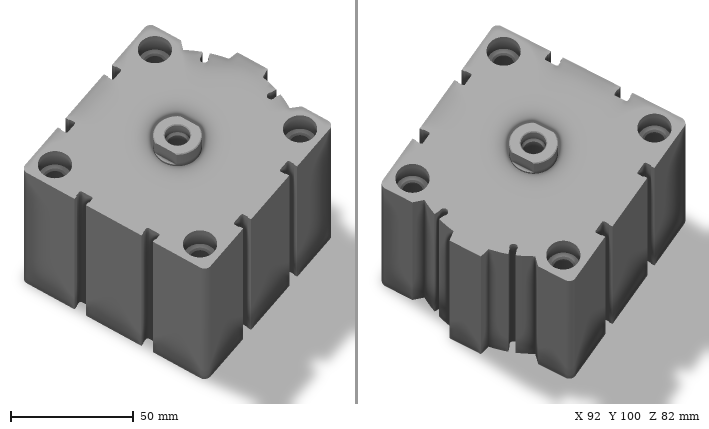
import cadquery as cq
import math

SIDE = 92.0
HOUSING_HEIGHT = 74.0
CORNER_RADIUS = 3.0
HALF = SIDE / 2

CROWN_RADIUS = 50.0
VALLEY_EDGE_X = 30.0
TAB_TOP_Y = 54.0
TAB_TOP_HALF_WIDTH = 7.5
TAB_ROOT_HALF_WIDTH = 8.4

SLOT_OFFSET = 16.6
SLOT_MOUTH_WIDTH = 5.7
SLOT_INNER_WIDTH = 6.4
SLOT_LIP = 1.7
SLOT_DEPTH = 4.8
SLOT_FLOOR_CHAMFER = 0.5

GROOVE_ANGLE = 21.0
GROOVE_CENTER_RADIUS = 46.4
GROOVE_DIAMETER = 3.5
GROOVE_NECK_WIDTH = 3.0

HOLE_OFFSET = 36.0
HOLE_DIAMETER = 8.5
HOLE_SINK_DIAMETER = 10.0
COUNTERBORE_DIAMETER = 14.0
COUNTERBORE_DEPTH = 9.0

ROD_DIAMETER = 20.0
ROD_TOP = 82.0
ROD_BOTTOM = 50.0
ROD_CHAMFER = 0.4
FLAT_WIDTH = 17.0
FLAT_BOTTOM = 75.0

SOCKET_MOUTH_DIAMETER = 11.3
SOCKET_DIAMETER = 10.5
SOCKET_DEPTH = 5.0
SOCKET_BORE_DIAMETER = 8.6
SOCKET_BORE_DEPTH = 20.0
DRILL_POINT_ANGLE = 118.0


def on_crown(x):
    """Point of the crown arc at the given x."""
    return (x, math.sqrt(CROWN_RADIUS**2 - x**2))


def profile_block():
    """Extruded profile with 45 degree valleys, a crown arc and a tapered tab on +Y."""
    flank = HALF - VALLEY_EDGE_X
    valley_x = (math.sqrt(2 * CROWN_RADIUS**2 - flank**2) - flank) / 2
    arc_middle_x = (valley_x + TAB_ROOT_HALF_WIDTH) / 2
    outline = (
        cq.Workplane("XY")
        .moveTo(-HALF, -HALF)
        .lineTo(HALF, -HALF)
        .lineTo(HALF, HALF)
        .lineTo(VALLEY_EDGE_X, HALF)
        .lineTo(*on_crown(valley_x))
        .threePointArc(on_crown(arc_middle_x), on_crown(TAB_ROOT_HALF_WIDTH))
        .lineTo(TAB_TOP_HALF_WIDTH, TAB_TOP_Y)
        .lineTo(-TAB_TOP_HALF_WIDTH, TAB_TOP_Y)
        .lineTo(*on_crown(-TAB_ROOT_HALF_WIDTH))
        .threePointArc(on_crown(-arc_middle_x), on_crown(-valley_x))
        .lineTo(-VALLEY_EDGE_X, HALF)
        .lineTo(-HALF, HALF)
        .close()
    )
    block = outline.extrude(HOUSING_HEIGHT)
    return block.edges("|Z and (<X or >X)").fillet(CORNER_RADIUS)


def t_slot(offset, side_angle):
    """T-slot cutter on the -Y side at x = offset, turned about Z to its side."""
    half_mouth = SLOT_MOUTH_WIDTH / 2
    half_inner = SLOT_INNER_WIDTH / 2
    half_section = [
        (half_mouth, 0),
        (half_mouth, SLOT_LIP),
        (half_inner, SLOT_LIP),
        (half_inner, SLOT_DEPTH - SLOT_FLOOR_CHAMFER),
        (half_inner - SLOT_FLOOR_CHAMFER, SLOT_DEPTH),
    ]
    mirrored = [(-x, y) for x, y in reversed(half_section)]
    cutter = cq.Workplane("XY").polyline(half_section + mirrored).close().extrude(HOUSING_HEIGHT)
    return cutter.translate((offset, -HALF, 0)).rotate((0, 0, 0), (0, 0, 1), side_angle)


def sensor_groove(angle):
    """Keyhole groove cutter: a round bottom with a narrower neck opening outward."""
    neck_length = TAB_TOP_Y - GROOVE_CENTER_RADIUS
    round_bottom = (
        cq.Workplane("XY")
        .center(0, GROOVE_CENTER_RADIUS)
        .circle(GROOVE_DIAMETER / 2)
        .extrude(HOUSING_HEIGHT)
    )
    neck = (
        cq.Workplane("XY")
        .center(0, GROOVE_CENTER_RADIUS + neck_length / 2)
        .rect(GROOVE_NECK_WIDTH, neck_length)
        .extrude(HOUSING_HEIGHT)
    )
    return round_bottom.union(neck).rotate((0, 0, 0), (0, 0, 1), angle)


def mounting_hole(x, y):
    """Through hole cutter with a counterbore and a 45 degree countersink at its floor."""
    floor_z = HOUSING_HEIGHT - COUNTERBORE_DEPTH
    sink_depth = (HOLE_SINK_DIAMETER - HOLE_DIAMETER) / 2
    half_section = [
        (0, 0),
        (HOLE_DIAMETER / 2, 0),
        (HOLE_DIAMETER / 2, floor_z - sink_depth),
        (HOLE_SINK_DIAMETER / 2, floor_z),
        (COUNTERBORE_DIAMETER / 2, floor_z),
        (COUNTERBORE_DIAMETER / 2, HOUSING_HEIGHT),
        (0, HOUSING_HEIGHT),
    ]
    cutter = cq.Workplane("XZ").polyline(half_section).close().revolve(360, (0, 0, 0), (0, 1, 0))
    return cutter.translate((x, y, 0))


def make_housing():
    body = profile_block()
    for side_angle in (-90, 0, 90):
        for offset in (-SLOT_OFFSET, SLOT_OFFSET):
            body = body.cut(t_slot(offset, side_angle))
    for angle in (-GROOVE_ANGLE, GROOVE_ANGLE):
        body = body.cut(sensor_groove(angle))
    for x in (-HOLE_OFFSET, HOLE_OFFSET):
        for y in (-HOLE_OFFSET, HOLE_OFFSET):
            body = body.cut(mounting_hole(x, y))
    rod_bore = (
        cq.Workplane("XY")
        .workplane(offset=ROD_BOTTOM)
        .circle(ROD_DIAMETER / 2)
        .extrude(HOUSING_HEIGHT - ROD_BOTTOM)
    )
    return body.cut(rod_bore)


def rod_socket():
    """Stepped blind socket cutter, open at the rod end."""
    mouth_depth = (SOCKET_MOUTH_DIAMETER - SOCKET_DIAMETER) / 2
    step_depth = (SOCKET_DIAMETER - SOCKET_BORE_DIAMETER) / 2
    point_depth = SOCKET_BORE_DIAMETER / 2 / math.tan(math.radians(DRILL_POINT_ANGLE / 2))
    half_section = [
        (0, ROD_TOP),
        (SOCKET_MOUTH_DIAMETER / 2, ROD_TOP),
        (SOCKET_DIAMETER / 2, ROD_TOP - mouth_depth),
        (SOCKET_DIAMETER / 2, ROD_TOP - SOCKET_DEPTH),
        (SOCKET_BORE_DIAMETER / 2, ROD_TOP - SOCKET_DEPTH - step_depth),
        (SOCKET_BORE_DIAMETER / 2, ROD_TOP - SOCKET_BORE_DEPTH),
        (0, ROD_TOP - SOCKET_BORE_DEPTH - point_depth),
    ]
    return cq.Workplane("XZ").polyline(half_section).close().revolve(360, (0, 0, 0), (0, 1, 0))


def make_rod():
    rod = (
        cq.Workplane("XY")
        .workplane(offset=ROD_BOTTOM)
        .circle(ROD_DIAMETER / 2)
        .extrude(ROD_TOP - ROD_BOTTOM)
        .faces(">Z")
        .chamfer(ROD_CHAMFER)
    )
    flats = (
        cq.Workplane("XY")
        .workplane(offset=FLAT_BOTTOM)
        .rect(ROD_DIAMETER, ROD_DIAMETER)
        .rect(ROD_DIAMETER, FLAT_WIDTH)
        .extrude(ROD_TOP - FLAT_BOTTOM)
    )
    return rod.cut(flats).cut(rod_socket())


housing = make_housing()
rod = make_rod()
result = cq.Compound.makeCompound([housing.val(), rod.val()])